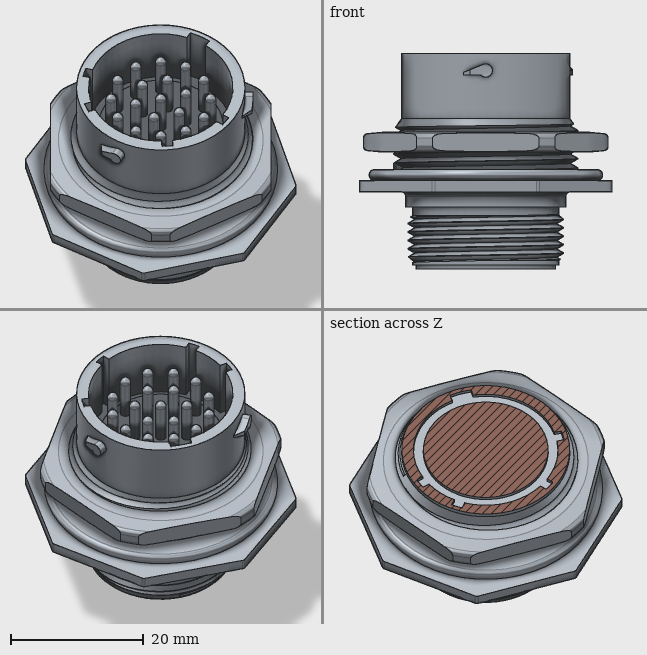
import cadquery as cq
import math

total_height = 32.55
tip_height = 0.6
collar_bottom = 9.36
flange_bottom = 11.64
flange_top = 13.36
floor_z = 22.85
insert_face_z = 23.69
barrel_bottom = 22.7

shell_seam_angle = 135.0
rear_seam_angle = 100.0
rear_chamfer_seam_angle = 250.0

tip_radius = 10.54
rear_radius = 11.03
collar_radius = 12.09
collar_fillet = 0.7
rear_thread_bottom = 1.3
rear_thread_top = 8.1
rear_chamfer_height = 0.58

rear_crest_radius = 11.73
rear_root_radius = 10.72
rear_pitch = 1.27
rear_groove_start_z = 0.83
rear_groove_start_angle = 90.0
rear_groove_turns = 5.75

front_crest_radius = 13.9
front_root_radius = 12.75
front_pitch = 25.4 / 18
front_groove_end_z = 22.3
front_groove_end_angle = 180.0
front_groove_start_angle = 192.6
front_groove_turns = 5.0 - (front_groove_start_angle - front_groove_end_angle) / 360
front_groove_start_z = front_groove_end_z - front_groove_turns * front_pitch
front_chamfer_angle = 35.0

thread_half_angle = 30.0
cutter_clearance = 1.0
groove_overshoot = 0.03

flange_sides = 8
flange_across_flats = 38.1
flange_corner_radius = 0.65
gasket_radius = 17.63
gasket_top = 15.02

nut_sides = 6
nut_bottom = 17.63
nut_top = 20.66
nut_across_flats = 33.3
nut_corner_radius = 18.48
nut_face_radius = 15.45
nut_corner_fillet = 0.7
nut_face_drop = 0.22

barrel_radius = 12.7
bore_radius = 10.88
insert_radius = 9.44
keyway_radius = 11.94
main_key_width = 3.27
minor_key_width = 1.65
main_key_angle = 90.0
minor_key_angles = (195.0, 230.0, 305.0, 355.0)

pin_radius = 0.8
pin_top = 30.7
pin_rings = ((1, 0.0, 0.0), (6, 3.93, 45.0), (12, 7.51, 0.0))

lug_outer_radius = 13.93
lug_head_radius = 1.0
lug_z = 29.96
lug_angles = (30.0, 150.0, 270.0)
lug_tail_length = 3.36
lug_tail_bottom_drop = 0.67
lug_tail_end_height = 0.4
lug_end_run = 1.0


def turned(profile, seam_angle=0.0):
    """Closed XZ profile revolved about the Z axis, its seam at the given angle."""
    return profile.revolve(360, (0, 0, 0), (0, 1, 0)).rotate((0, 0, 0), (0, 0, 1), seam_angle)


def shell_body():
    """Collar, front thread blank and barrel, without bore or thread groove."""
    front_chamfer_bottom = barrel_bottom - (front_crest_radius - barrel_radius) / math.tan(
        math.radians(front_chamfer_angle)
    )
    profile = (
        cq.Workplane("XZ")
        .moveTo(0, collar_bottom)
        .lineTo(collar_radius, collar_bottom)
        .lineTo(collar_radius, flange_bottom - collar_fillet)
        .radiusArc((collar_radius + collar_fillet, flange_bottom), collar_fillet)
        .lineTo(front_crest_radius, flange_bottom)
        .lineTo(front_crest_radius, front_chamfer_bottom)
        .lineTo(barrel_radius, barrel_bottom)
        .lineTo(barrel_radius, total_height)
        .lineTo(0, total_height)
        .close()
    )
    return turned(profile, shell_seam_angle)


def rear_relief_ring(edge_z, end_z, direction):
    """Ring that trims one end of the rear thread to the rear radius and chamfers its first crest."""
    outer_radius = rear_crest_radius + cutter_clearance
    chamfer_slope = rear_chamfer_height / (rear_crest_radius - rear_radius)
    chamfer_end_z = edge_z + direction * chamfer_slope * (outer_radius - rear_radius)
    profile = (
        cq.Workplane("XZ")
        .moveTo(rear_radius, edge_z)
        .lineTo(rear_radius, end_z)
        .lineTo(outer_radius, end_z)
        .lineTo(outer_radius, chamfer_end_z)
        .close()
    )
    return turned(profile, rear_chamfer_seam_angle)


def rear_end():
    """Threaded rear spigot with a smaller tip."""
    spigot = (
        cq.Workplane("XY", origin=(0, 0, tip_height))
        .circle(rear_crest_radius)
        .extrude(collar_bottom - tip_height)
        .rotate((0, 0, 0), (0, 0, 1), rear_seam_angle)
    )
    groove = thread_groove(
        rear_root_radius, rear_crest_radius, rear_pitch,
        rear_groove_start_z, rear_groove_start_angle, rear_groove_turns,
    )
    tip = cq.Workplane("XY").circle(tip_radius).extrude(tip_height)
    return (
        spigot.cut(groove)
        .cut(rear_relief_ring(rear_thread_bottom, tip_height - cutter_clearance, 1))
        .cut(rear_relief_ring(rear_thread_top, collar_bottom + cutter_clearance, -1))
        .union(tip)
    )


def threaded_shell():
    """Shell body with the front thread groove."""
    groove = thread_groove(
        front_root_radius, front_crest_radius, front_pitch,
        front_groove_start_z, front_groove_start_angle, front_groove_turns,
    )
    return shell_body().cut(groove)


def thread_groove(root_radius, crest_radius, pitch, start_z, start_angle, turns):
    """Right-handed V groove whose apex follows a helix on the root radius."""
    mouth_radius = crest_radius + groove_overshoot
    half_mouth = (mouth_radius - root_radius) * math.tan(math.radians(thread_half_angle))
    helix = cq.Wire.makeHelix(pitch, turns * pitch, root_radius)
    groove = (
        cq.Workplane("XZ")
        .moveTo(root_radius, 0)
        .lineTo(mouth_radius, half_mouth)
        .lineTo(mouth_radius, -half_mouth)
        .close()
        .sweep(cq.Workplane(helix), isFrenet=True)
    )
    return groove.rotate((0, 0, 0), (0, 0, 1), start_angle).translate((0, 0, start_z))


def flange():
    corner_diameter = flange_across_flats / math.cos(math.pi / flange_sides)
    return (
        cq.Workplane("XY", origin=(0, 0, flange_bottom))
        .transformed(rotate=(0, 0, 180 / flange_sides))
        .polygon(flange_sides, corner_diameter)
        .extrude(flange_top - flange_bottom)
        .edges("|Z")
        .fillet(flange_corner_radius)
    )


def gasket():
    """Flat disc on the flange with a half-round rim."""
    rim_radius = (gasket_top - flange_top) / 2
    profile = (
        cq.Workplane("XZ")
        .moveTo(0, flange_top)
        .lineTo(gasket_radius - rim_radius, flange_top)
        .threePointArc(
            (gasket_radius, flange_top + rim_radius),
            (gasket_radius - rim_radius, gasket_top),
        )
        .lineTo(0, gasket_top)
        .close()
    )
    return turned(profile)


def jam_nut():
    """Hexagon with flats facing +Y and -Y, its corners rounded off by a turned blank."""
    height = nut_top - nut_bottom
    hexagon = (
        cq.Workplane("XY", origin=(0, 0, nut_bottom))
        .polygon(nut_sides, nut_across_flats / math.cos(math.pi / nut_sides))
        .extrude(height)
    )
    shoulder_radius = nut_corner_radius - nut_corner_fillet
    low_shoulder = nut_bottom + nut_face_drop
    high_shoulder = nut_top - nut_face_drop
    blank_profile = (
        cq.Workplane("XZ")
        .moveTo(0, nut_bottom)
        .lineTo(nut_face_radius, nut_bottom)
        .lineTo(shoulder_radius, low_shoulder)
        .radiusArc((nut_corner_radius, low_shoulder + nut_corner_fillet), -nut_corner_fillet)
        .lineTo(nut_corner_radius, high_shoulder - nut_corner_fillet)
        .radiusArc((shoulder_radius, high_shoulder), -nut_corner_fillet)
        .lineTo(nut_face_radius, nut_top)
        .lineTo(0, nut_top)
        .close()
    )
    return hexagon.intersect(turned(blank_profile))


def keyway(angle, width):
    depth = total_height - floor_z
    bar = (
        cq.Workplane("XY", origin=(keyway_radius / 2, 0, floor_z))
        .rect(keyway_radius, width)
        .extrude(depth)
    )
    limit = cq.Workplane("XY", origin=(0, 0, floor_z)).circle(keyway_radius).extrude(depth)
    return bar.intersect(limit).rotate((0, 0, 0), (0, 0, 1), angle)


def barrel_cavity():
    cavity = (
        cq.Workplane("XY", origin=(0, 0, floor_z))
        .circle(bore_radius)
        .extrude(total_height - floor_z)
    )
    cavity = cavity.union(keyway(main_key_angle, main_key_width))
    for angle in minor_key_angles:
        cavity = cavity.union(keyway(angle, minor_key_width))
    return cavity


def insert():
    return (
        cq.Workplane("XY", origin=(0, 0, floor_z))
        .circle(insert_radius)
        .extrude(insert_face_z - floor_z)
    )


def pin(x, y):
    """Contact pin with a hemispherical tip."""
    dome_z = pin_top - pin_radius
    shaft = cq.Workplane("XY", origin=(x, y, floor_z)).circle(pin_radius).extrude(dome_z - floor_z)
    dome = cq.Workplane("XY", origin=(x, y, dome_z)).sphere(pin_radius)
    return shaft.union(dome)


def bayonet_lug(angle):
    """Round-headed lug with a tapered tail, modelled facing -Y and turned to its angle."""
    modelled_angle = 270
    tail_bottom = -lug_tail_bottom_drop
    tail_top = tail_bottom + lug_tail_end_height
    reach = math.hypot(lug_tail_length, tail_top)
    direction = math.atan2(tail_top, -lug_tail_length)
    tangent_angle = direction - math.acos(lug_head_radius / reach)
    tangent = (lug_head_radius * math.cos(tangent_angle), lug_head_radius * math.sin(tangent_angle))
    heel = (-math.sqrt(lug_head_radius**2 - tail_bottom**2), tail_bottom)
    outline = (
        cq.Workplane("XZ", origin=(0, 0, lug_z))
        .moveTo(-lug_tail_length, tail_bottom)
        .lineTo(-lug_tail_length, tail_top)
        .lineTo(*tangent)
        .threePointArc((lug_head_radius, 0), heel)
        .close()
        .extrude(lug_outer_radius)
    )
    tail_inner_y = -math.sqrt(barrel_radius**2 - lug_tail_length**2)
    tail_outer_x = -lug_tail_length + lug_end_run
    tail_outer_y = -math.sqrt(lug_outer_radius**2 - tail_outer_x**2)
    inner_y = -(bore_radius + keyway_radius) / 2
    plan = (
        cq.Workplane("XY", origin=(0, 0, lug_z - lug_head_radius))
        .moveTo(-lug_tail_length, inner_y)
        .lineTo(-lug_tail_length, tail_inner_y)
        .lineTo(tail_outer_x, tail_outer_y)
        .threePointArc(
            (0, -lug_outer_radius),
            (lug_head_radius, -math.sqrt(lug_outer_radius**2 - lug_head_radius**2)),
        )
        .lineTo(lug_head_radius, inner_y)
        .close()
        .extrude(2 * lug_head_radius)
    )
    return outline.intersect(plan).rotate((0, 0, 0), (0, 0, 1), angle - modelled_angle)


body = threaded_shell().union(rear_end())
body = body.union(flange()).union(gasket()).union(jam_nut())
for lug_angle in lug_angles:
    body = body.union(bayonet_lug(lug_angle))
body = body.cut(barrel_cavity()).union(insert())
for count, circle_radius, first_angle in pin_rings:
    for i in range(count):
        pin_angle = math.radians(first_angle + 360 * i / count)
        x = circle_radius * math.cos(pin_angle)
        y = circle_radius * math.sin(pin_angle)
        body = body.union(pin(x, y))

result = body.solids()